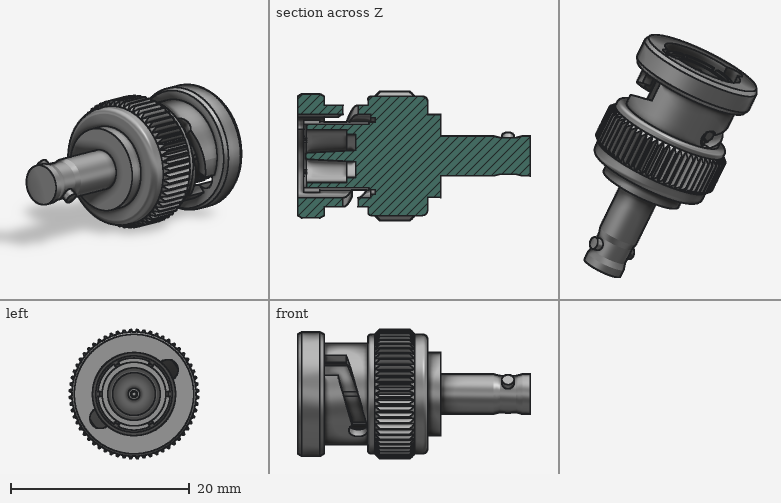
import math

import cadquery as cq


FLANGE_LENGTH = 3.0
FLANGE_RADIUS = 6.97
FLANGE_CHAMFER_AXIAL = 0.5
FLANGE_CHAMFER_RADIAL = 0.28
BARREL_RADIUS = 5.7
BORE_RADIUS = 4.66
BORE_DEPTH = 8.2
INNER_BORE_RADIUS = 4.28
INNER_BORE_DEPTH = 8.7

COLLAR_START = 7.87
COLLAR_END = 14.59
COLLAR_RADIUS = 6.7
COLLAR_FRONT_FILLET = 0.4
COLLAR_REAR_FILLET = 0.62
TOOTH_COUNT = 60
TOOTH_START = 8.67
TOOTH_END = 13.13
TOOTH_TIP_HEIGHT = 7.236
TOOTH_TIP_WIDTH = 0.15
TOOTH_END_CLEARANCE = 0.1

HUB_RADIUS = 4.67
HUB_END = 16.05
TUBE_RADIUS = 2.25
WAIST_RADIUS = 2.07
WAIST_TAPER_START = 21.95
WAIST_START = 22.68
WAIST_END = 24.48
WAIST_TAPER_END = 25.18
TOTAL_LENGTH = 26.09

CROSS_PIN_RADIUS = 0.685
CROSS_PIN_LENGTH = 5.56
CROSS_PIN_X = 23.57
LUG_ANGLE = 35.5

FINGER_TIP = 0.7
FINGER_BEAD_END = 2.5
FINGER_BEAD_RADIUS = 4.04
FINGER_RADIUS = 3.83
FINGER_SLOT_COUNT = 6
FINGER_SLOT_WIDTH = 0.53
FINGER_SLOT_END = 8.0
SLEEVE_TIP = 1.0
SLEEVE_OUTER_RADIUS = 3.57
SLEEVE_BORE_RADIUS = 2.94
SLEEVE_BORE_DEPTH = 5.5
INSULATOR_BORE_RADIUS = 2.4
INSULATOR_BORE_DEPTH = 6.5
CONTACT_TIP = 0.9
CONTACT_TIP_RADIUS = 0.25
CONTACT_NECK_RADIUS = 0.37
CONTACT_ROOT_RADIUS = 0.66

CHANNEL_RADIUS = 1.15
ENTRY_LOW_ANGLE = 21.4
ENTRY_HIGH_ANGLE = 49.5
RAMP_LOW_X = 4.54
RAMP_HIGH_X = 5.44
RAMP_LEAD = 9.7
RAMP_END_ANGLE = -40.0
LATCH_ANGLE = -45.8
LATCH_RADIUS = 1.05
LATCH_X = 6.81
WALL_MARGIN = 0.1

JOIN_OVERLAP = 1.0
BAYONET_COUNT = 2


def revolve(points):
    """Solid of revolution about X from (x, radius) points."""
    return cq.Workplane("XY").polyline(points).close().revolve(360, (0, 0, 0), (1, 0, 0))


def cylinder(start, end, radius):
    return cq.Workplane("YZ", origin=(start, 0, 0)).circle(radius).extrude(end - start)


def turn(body, angle):
    """Rotate about X so that the -Y direction moves by the angle towards +Z."""
    return body.rotate((0, 0, 0), (1, 0, 0), -angle)


def sector_sketch(x, margin, low_angle, high_angle):
    """Ring segment in the YZ plane at x that overlaps the barrel wall by the margin on each side.

    Angles are measured from -Y towards +Z.
    """
    def point(radius, angle):
        return -radius * math.cos(math.radians(angle)), radius * math.sin(math.radians(angle))

    inner = BORE_RADIUS - margin
    outer = BARREL_RADIUS + margin
    middle = (low_angle + high_angle) / 2
    return (
        cq.Workplane("YZ", origin=(x, 0, 0))
        .moveTo(*point(inner, low_angle))
        .lineTo(*point(outer, low_angle))
        .threePointArc(point(outer, middle), point(outer, high_angle))
        .lineTo(*point(inner, high_angle))
        .threePointArc(point(inner, middle), point(inner, low_angle))
        .close()
    )


def make_barrel():
    flange_edge = FLANGE_RADIUS - FLANGE_CHAMFER_RADIAL
    flange = revolve([
        (0, 0),
        (0, flange_edge),
        (FLANGE_CHAMFER_AXIAL, FLANGE_RADIUS),
        (FLANGE_LENGTH - FLANGE_CHAMFER_AXIAL, FLANGE_RADIUS),
        (FLANGE_LENGTH, flange_edge),
        (FLANGE_LENGTH, 0),
    ])
    barrel = cylinder(0, COLLAR_START + JOIN_OVERLAP, BARREL_RADIUS)
    return flange.union(barrel)


def make_bore():
    """Open mating cavity, stepping down to a narrower floor."""
    return cylinder(0, BORE_DEPTH, BORE_RADIUS).union(cylinder(0, INNER_BORE_DEPTH, INNER_BORE_RADIUS))


def make_bayonet_slot():
    lead_per_degree = RAMP_LEAD / 360
    ramp_start = RAMP_LOW_X
    ramp_end = RAMP_HIGH_X + (ENTRY_HIGH_ANGLE - RAMP_END_ANGLE) * lead_per_degree
    ramp_span = ENTRY_HIGH_ANGLE + (RAMP_HIGH_X - RAMP_LOW_X) / lead_per_degree - ENTRY_LOW_ANGLE
    twist = (ramp_end - ramp_start) / lead_per_degree

    ramp = sector_sketch(
        ramp_start, WALL_MARGIN, ENTRY_LOW_ANGLE, ENTRY_LOW_ANGLE + ramp_span
    ).twistExtrude(ramp_end - ramp_start, twist)
    limits = sector_sketch(
        ramp_start - WALL_MARGIN, 2 * WALL_MARGIN, RAMP_END_ANGLE, ENTRY_HIGH_ANGLE
    ).extrude(ramp_end - ramp_start + 2 * WALL_MARGIN)
    entry = sector_sketch(
        FLANGE_LENGTH, WALL_MARGIN, ENTRY_LOW_ANGLE, ENTRY_HIGH_ANGLE
    ).extrude(RAMP_HIGH_X - FLANGE_LENGTH)
    latch_hole = turn(
        cq.Workplane("XZ", origin=(LATCH_X, 0, 0)).circle(LATCH_RADIUS).extrude(BARREL_RADIUS + WALL_MARGIN),
        LATCH_ANGLE,
    )
    channel = turn(
        cq.Workplane("YZ").center(-BORE_RADIUS, 0).circle(CHANNEL_RADIUS).extrude(FLANGE_LENGTH),
        LUG_ANGLE,
    )
    return ramp.intersect(limits).union(entry).union(latch_hole).union(channel)


def make_collar():
    collar = cylinder(COLLAR_START, COLLAR_END, COLLAR_RADIUS)
    collar = collar.faces("<X").edges().fillet(COLLAR_FRONT_FILLET)
    collar = collar.faces(">X").edges().fillet(COLLAR_REAR_FILLET)
    return collar


def make_knurl():
    """Ring of pointed ridges with 45 degree ends, one groove bottom on each axis."""
    pitch_angle = 360 / TOOTH_COUNT
    root = COLLAR_RADIUS
    half_base = root * math.sin(math.radians(pitch_angle / 2))
    base_height = root * math.cos(math.radians(pitch_angle / 2))
    half_tip = TOOTH_TIP_WIDTH / 2
    outline = []
    for index in range(TOOTH_COUNT):
        middle = math.radians((index + 0.5) * pitch_angle)
        corners = ((-half_base, base_height), (-half_tip, TOOTH_TIP_HEIGHT), (half_tip, TOOTH_TIP_HEIGHT))
        for side, height in corners:
            outline.append((
                height * math.cos(middle) - side * math.sin(middle),
                height * math.sin(middle) + side * math.cos(middle),
            ))
    length = TOOTH_END - TOOTH_START
    star = cq.Workplane("YZ", origin=(TOOTH_START, 0, 0)).polyline(outline).close().extrude(length)
    rise = TOOTH_TIP_HEIGHT - root + TOOTH_END_CLEARANCE
    envelope = revolve([
        (TOOTH_START, 0),
        (TOOTH_START, root),
        (TOOTH_START + rise, root + rise),
        (TOOTH_END - rise, root + rise),
        (TOOTH_END, root),
        (TOOTH_END, 0),
    ])
    return star.intersect(envelope)


def make_tail():
    hub = cylinder(COLLAR_END - JOIN_OVERLAP, HUB_END, HUB_RADIUS)
    tube = revolve([
        (HUB_END - JOIN_OVERLAP, 0),
        (HUB_END - JOIN_OVERLAP, TUBE_RADIUS),
        (WAIST_TAPER_START, TUBE_RADIUS),
        (WAIST_START, WAIST_RADIUS),
        (WAIST_END, WAIST_RADIUS),
        (WAIST_TAPER_END, TUBE_RADIUS),
        (TOTAL_LENGTH, TUBE_RADIUS),
        (TOTAL_LENGTH, 0),
    ])
    cross_pin = turn(
        cq.Workplane("XZ", origin=(CROSS_PIN_X, 0, 0))
        .circle(CROSS_PIN_RADIUS)
        .extrude(CROSS_PIN_LENGTH / 2, both=True),
        LUG_ANGLE,
    )
    return hub.union(tube).union(cross_pin)


def make_inner_contacts():
    root = INNER_BORE_DEPTH + JOIN_OVERLAP
    fingers = cylinder(FINGER_TIP, FINGER_BEAD_END, FINGER_BEAD_RADIUS)
    fingers = fingers.union(cylinder(FINGER_TIP, root, FINGER_RADIUS))
    fingers = fingers.cut(cylinder(FINGER_TIP, root, SLEEVE_OUTER_RADIUS))
    slot_length = FINGER_SLOT_END - FINGER_TIP
    for index in range(FINGER_SLOT_COUNT):
        slot = cq.Workplane("XY").box(
            slot_length, FINGER_BEAD_RADIUS + JOIN_OVERLAP, FINGER_SLOT_WIDTH, centered=(False, False, True)
        )
        slot = slot.translate((FINGER_TIP, 0, 0))
        fingers = fingers.cut(turn(slot, index * 360 / FINGER_SLOT_COUNT))

    sleeve = cylinder(SLEEVE_TIP, root, SLEEVE_OUTER_RADIUS)
    sleeve = sleeve.cut(cylinder(SLEEVE_TIP, SLEEVE_BORE_DEPTH, SLEEVE_BORE_RADIUS))
    sleeve = sleeve.cut(cylinder(SLEEVE_TIP, INSULATOR_BORE_DEPTH, INSULATOR_BORE_RADIUS))

    tip_chamfer = CONTACT_NECK_RADIUS - CONTACT_TIP_RADIUS
    contact = revolve([
        (CONTACT_TIP, 0),
        (CONTACT_TIP, CONTACT_TIP_RADIUS),
        (CONTACT_TIP + tip_chamfer, CONTACT_NECK_RADIUS),
        (INSULATOR_BORE_DEPTH, CONTACT_ROOT_RADIUS),
        (root, CONTACT_ROOT_RADIUS),
        (root, 0),
    ])
    return fingers.union(sleeve).union(contact)


barrel = make_barrel()
bayonet_slot = make_bayonet_slot()
for slot_index in range(BAYONET_COUNT):
    barrel = barrel.cut(turn(bayonet_slot, slot_index * 360 / BAYONET_COUNT))

outer_body = barrel.union(make_collar()).union(make_knurl()).union(make_tail())
result = outer_body.cut(make_bore()).union(make_inner_contacts())